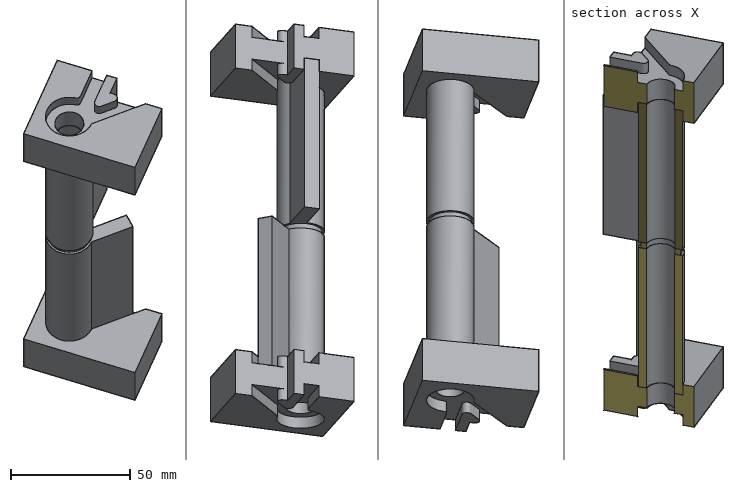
import cadquery as cq
import math

OVERALL_HEIGHT = 168.1

BLOCK_LENGTH = 50.0
BLOCK_HEIGHT = 20.0
AXIS_INSET = 15.0
TALL_FACE_Y = 25.5
SHORT_FACE_Y = 17.5
STEP_X = 11.8
RECESS_DEPTH = 5.0
RECESS_FILLET = 1.5
TONGUE_FILLET = 2.0
BLOCK_BORE = 12.1

KNUCKLE_DIAMETER = 20.0
KNUCKLE_BORE = 12.5
LEAF_NEAR = 0.7
LEAF_FAR = 7.2
LEAF_REACH = 26.0
LEAF_SWING = 45.0

RING_DIAMETER = 18.0
RING_HEIGHT = 2.5

block_bottom = OVERALL_HEIGHT / 2 - BLOCK_HEIGHT
leaf_start = RING_HEIGHT / 2
leaf_height = block_bottom + RECESS_DEPTH - leaf_start
knuckle_radius = KNUCKLE_DIAMETER / 2
swing_sin = math.sin(math.radians(LEAF_SWING))
swing_cos = math.cos(math.radians(LEAF_SWING))


def swung(side, along):
    """Point of the swung leaf, given sideways and lengthwise from the axis."""
    return (side * swing_cos + along * swing_sin, along * swing_cos - side * swing_sin)


def swung_at_x(side, x):
    """Point at the given X on the swung leaf's face that lies sideways from the axis."""
    return swung(side, (x - side * swing_cos) / swing_sin)


def swung_at_y(side, y):
    """Point at the given Y on the swung leaf's face that lies sideways from the axis."""
    return swung(side, (y + side * swing_sin) / swing_cos)


def on_knuckle(side):
    """Distance along the leaf at which one of its faces meets the knuckle."""
    return math.sqrt(knuckle_radius**2 - side**2)


def fillet_upright_edge(body, point, radius):
    """Round the vertical edge that passes through an XY point."""
    height = RECESS_DEPTH / 2
    edge = body.edges("|Z").edges(cq.selectors.NearestToPointSelector((point[0], point[1], height)))
    return edge.fillet(radius)


def make_tongue():
    """Rounded island left standing between the straight and the slanted slot."""
    tip = swung_at_x(LEAF_NEAR, LEAF_FAR)
    heel = swung_at_y(LEAF_NEAR, SHORT_FACE_Y)
    outline = [
        tip,
        heel,
        (STEP_X, SHORT_FACE_Y),
        (STEP_X, TALL_FACE_Y),
        (LEAF_FAR, TALL_FACE_Y),
    ]
    tongue = cq.Workplane("XY").polyline(outline).close().extrude(RECESS_DEPTH)
    for corner in (tip, heel):
        tongue = fillet_upright_edge(tongue, corner, TONGUE_FILLET)
    return tongue


def make_recess():
    """Seat for the knuckle with an open slot for either position of the leaf."""
    fan = [
        (LEAF_NEAR, 0),
        (LEAF_NEAR, BLOCK_LENGTH),
        swung_at_y(LEAF_FAR, BLOCK_LENGTH),
        swung(LEAF_FAR, 0),
    ]
    recess = cq.Workplane("XY").circle(knuckle_radius).extrude(RECESS_DEPTH)
    recess = recess.union(cq.Workplane("XY").polyline(fan).close().extrude(RECESS_DEPTH))
    mouth_corners = [
        (LEAF_NEAR, on_knuckle(LEAF_NEAR)),
        swung(LEAF_FAR, on_knuckle(LEAF_FAR)),
    ]
    for corner in mouth_corners:
        recess = fillet_upright_edge(recess, corner, RECESS_FILLET)
    return recess.cut(make_tongue())


def make_guide_block(bottom):
    """Stepped block with a bore and the same recess in its top and bottom faces."""
    right = BLOCK_LENGTH - AXIS_INSET
    outline = [
        (-AXIS_INSET, -AXIS_INSET),
        (right, -AXIS_INSET),
        (right, SHORT_FACE_Y),
        (STEP_X, SHORT_FACE_Y),
        (STEP_X, TALL_FACE_Y),
        (-AXIS_INSET, TALL_FACE_Y),
    ]
    block = cq.Workplane("XY").polyline(outline).close().extrude(BLOCK_HEIGHT)
    recess = make_recess()
    for floor in (0, BLOCK_HEIGHT - RECESS_DEPTH):
        block = block.cut(recess.translate((0, 0, floor)))
    bore = cq.Workplane("XY").circle(BLOCK_BORE / 2).extrude(BLOCK_HEIGHT)
    return block.cut(bore).translate((0, 0, bottom))


def make_hinge_leaf(bottom, swing):
    """Tubular knuckle with a flat leaf, turned clockwise by the swing angle."""
    knuckle = cq.Workplane("XY").circle(knuckle_radius).extrude(leaf_height)
    leaf = cq.Workplane("XY").box(LEAF_FAR - LEAF_NEAR, LEAF_REACH, leaf_height, centered=False)
    hinge = knuckle.union(leaf.translate((LEAF_NEAR, 0, 0)))
    hinge = hinge.cut(cq.Workplane("XY").circle(KNUCKLE_BORE / 2).extrude(leaf_height))
    return hinge.rotate((0, 0, 0), (0, 0, 1), -swing).translate((0, 0, bottom))


def make_spacer_ring():
    """Ring that keeps the two knuckles apart."""
    ring = cq.Workplane("XY").circle(RING_DIAMETER / 2).circle(KNUCKLE_BORE / 2).extrude(RING_HEIGHT)
    return ring.translate((0, 0, -RING_HEIGHT / 2))


guide_blocks = [make_guide_block(bottom) for bottom in (-OVERALL_HEIGHT / 2, block_bottom)]
hinge_leaves = [
    make_hinge_leaf(bottom, swing)
    for bottom, swing in ((leaf_start, 0), (-leaf_start - leaf_height, LEAF_SWING))
]
spacer_ring = make_spacer_ring()

bodies = [*guide_blocks, *hinge_leaves, spacer_ring]
result = cq.Compound.makeCompound([body.val() for body in bodies])